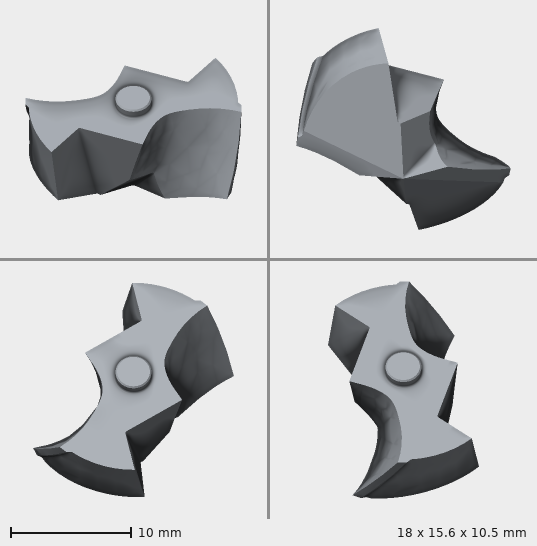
import cadquery as cq
import math


point_depth = 9.65
point = cq.Vector(0, 0, -point_depth)
cutting_radius = 9.0
body_radius = 8.71
twist_per_unit = 3.817
tool_size = 72.0

margin_edge_angle = 14.8
margin_back_angle = 19.5
margin_root_angle = 21.9
flute_wall_x = 2.25
flute_points = [(5.85, 1.71), (4.35, 0.95), (2.88, -0.25), (2.38, -1.55), (flute_wall_x, -2.79)]

notch_y = 4.01
notch_corner_x = 3.37
notch_outward_slope = 0.351
notch_height_slope = 0.215
notch_flat_slope = 0.016
notch_warp = 0.01056
notch_fillet = 0.18

flank_slope_x = 0.356
primary_slope_y = 0.07
secondary_slope_y = 0.4
gash_slope_x = 1.053
gash_slope_y = -0.946
gash_wall_slope_x = 0.415
gash_wall_slope_z = 0.141
gash_fillet = 0.27
gash_reach = 14.4

stud_radius = 1.5
stud_height = 0.86
stud_chamfer = 0.13
stud_base_fillet = 0.16


def polar(radius, degrees):
    angle = math.radians(degrees)
    return (radius * math.cos(angle), radius * math.sin(angle))


def opposite(xy):
    return (-xy[0], -xy[1])


def half_turn(solid):
    return solid.rotate((0, 0, 0), (0, 0, 1), 180)


def make_twisted_body():
    """Sweep the two-blade section down the helix."""
    wall_end_angle = -math.degrees(math.acos(flute_wall_x / body_radius))
    wall_end = polar(body_radius, wall_end_angle)
    body_mid_angle = (margin_root_angle + wall_end_angle + 180) / 2
    margin_mid_angle = (margin_edge_angle + margin_back_angle) / 2

    outline = cq.Workplane("XY").moveTo(*opposite(wall_end))
    for place in (lambda xy: xy, opposite):
        outline = (
            outline.threePointArc(
                place(polar(body_radius, body_mid_angle)),
                place(polar(body_radius, margin_root_angle)),
            )
            .lineTo(*place(polar(cutting_radius, margin_back_angle)))
            .threePointArc(
                place(polar(cutting_radius, margin_mid_angle)),
                place(polar(cutting_radius, margin_edge_angle)),
            )
            .spline([place(xy) for xy in flute_points], includeCurrent=True)
            .lineTo(*place(wall_end))
        )
    return outline.close().twistExtrude(-point_depth, twist_per_unit * point_depth)


def make_notch():
    """Wedge on the +Y side between the flat and the slanted, warped back of a blade."""
    def section(z):
        corner_x = notch_corner_x + notch_height_slope * z
        flat_y = notch_y + notch_flat_slope * z
        outward_slope = notch_outward_slope - notch_warp * z
        depth = tool_size / 4
        return [
            (-depth, flat_y),
            (corner_x, flat_y),
            (corner_x + outward_slope * depth, flat_y + depth),
            (-depth, flat_y + depth),
        ]

    wedge = (
        cq.Workplane("XY")
        .polyline(section(0))
        .close()
        .workplane(offset=-point_depth)
        .polyline(section(-point_depth))
        .close()
        .loft(ruled=True)
    )
    corner = (notch_corner_x, notch_y, 0)
    return wedge.edges("not #Z").edges(cq.NearestToPointSelector(corner)).fillet(notch_fillet)


def make_flank_cut(slope_x, slope_y):
    """Everything below a plane that rises from the point at the given slopes."""
    plane = cq.Plane(origin=point, normal=(slope_x, slope_y, -1))
    return cq.Workplane(plane).rect(tool_size, tool_size).extrude(tool_size)


def make_gash():
    """Rounded V groove thinning the web beside the +X cutting edge."""
    floor_normal = cq.Vector(gash_slope_x, gash_slope_y, -1).normalized()
    wall_normal = cq.Vector(-gash_wall_slope_x, -1, -gash_wall_slope_z).normalized()
    valley = wall_normal.cross(floor_normal).normalized()
    if valley.z < 0:
        valley = -valley
    along_floor = valley.cross(floor_normal)
    if along_floor.dot(wall_normal) < 0:
        along_floor = -along_floor
    along_wall = valley.cross(wall_normal)
    if along_wall.dot(floor_normal) < 0:
        along_wall = -along_wall

    section_plane = cq.Plane(origin=point - valley * gash_reach, xDir=along_floor, normal=valley)
    wall_end = (
        gash_reach * along_wall.dot(section_plane.xDir),
        gash_reach * along_wall.dot(section_plane.yDir),
    )
    groove = (
        cq.Workplane(section_plane)
        .polyline([(0, 0), (gash_reach, 0), wall_end])
        .close()
        .extrude(2 * gash_reach)
    )
    return groove.edges(cq.NearestToPointSelector(point.toTuple())).fillet(gash_fillet)


def make_stud():
    """Chamfered stud with a concave fillet at its base, rooted in the top face."""
    root_depth = 0.18
    fillet_inset = stud_base_fillet * (1 - math.sqrt(0.5))
    return (
        cq.Workplane("XZ")
        .moveTo(0, -root_depth)
        .lineTo(stud_radius + stud_base_fillet, -root_depth)
        .lineTo(stud_radius + stud_base_fillet, 0)
        .threePointArc(
            (stud_radius + fillet_inset, fillet_inset),
            (stud_radius, stud_base_fillet),
        )
        .lineTo(stud_radius, stud_height - stud_chamfer)
        .lineTo(stud_radius - stud_chamfer, stud_height)
        .lineTo(0, stud_height)
        .close()
        .revolve(360, (0, 0, 0), (0, 1, 0))
    )


cutters = [
    make_notch(),
    make_flank_cut(flank_slope_x, primary_slope_y),
    make_flank_cut(flank_slope_x, secondary_slope_y),
    make_gash(),
]

result = make_twisted_body()
for cutter in cutters:
    result = result.cut(cutter).cut(half_turn(cutter))
result = result.union(make_stud())